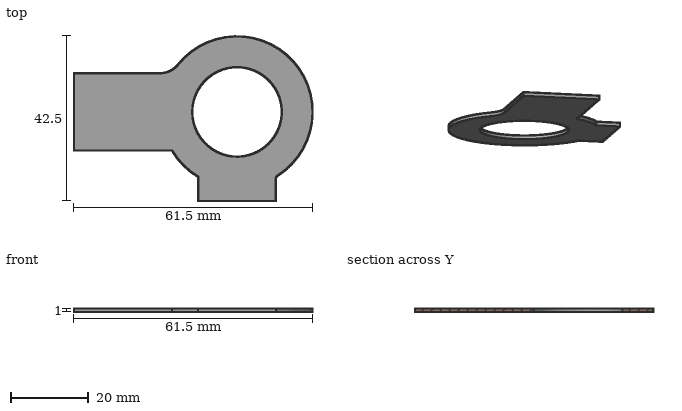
import cadquery as cq

thickness = 1.0
ring_diameter = 39.0
bore_diameter = 23.0
tab_width = 20.0
long_tab_reach = 42.0
short_tab_reach = 23.0
long_tab_fillet = 6.0
short_tab_fillet = 1.0

ring_radius = ring_diameter / 2
half_width = tab_width / 2
root_distance = (ring_radius**2 - half_width**2) ** 0.5


def make_blank():
    """Flat disc with one tab along -X and one along -Y."""
    disc = cq.Workplane("XY").circle(ring_radius).extrude(thickness)
    long_tab = cq.Workplane("XY").box(
        long_tab_reach, tab_width, thickness, centered=(False, True, False)
    ).translate((-long_tab_reach, 0, 0))
    short_tab = cq.Workplane("XY").box(
        tab_width, short_tab_reach, thickness, centered=(True, False, False)
    ).translate((0, -short_tab_reach, 0))
    return disc.union(long_tab).union(short_tab)


def round_corner(body, x, y, radius):
    """Fillet the vertical edge of the body that stands at (x, y)."""
    corner = cq.selectors.NearestToPointSelector((x, y, thickness / 2))
    return body.edges("|Z").edges(corner).fillet(radius)


washer = make_blank()
washer = round_corner(washer, -root_distance, half_width, long_tab_fillet)
washer = round_corner(washer, half_width, -root_distance, short_tab_fillet)

result = washer.faces(">Z").workplane(origin=(0, 0, thickness)).hole(bore_diameter)